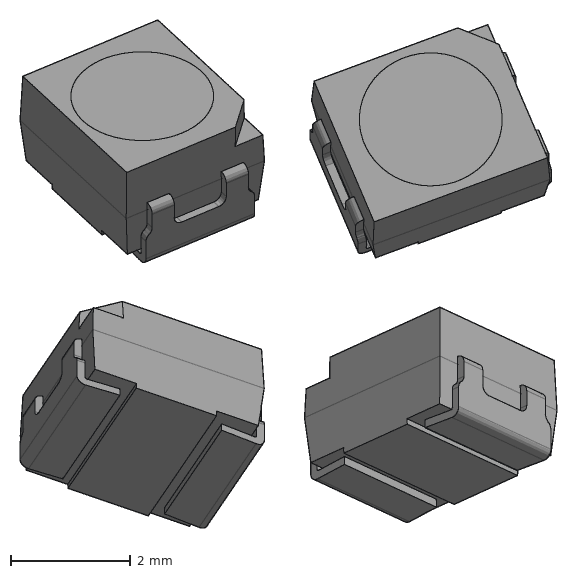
import cadquery as cq
import math

length = 3.2
width = 2.8
top_z = 2.0
parting_z = 1.05
underside_z = 0.2
upper_draft = 2.0
lower_draft = 5.0

pad_length = 1.5
pad_bottom_z = 0.1

corner_leg = 0.6
corner_depth = 0.4

lens_radius = 1.2
lens_depth = 0.8

sheet = 0.15
foot_length = 0.8
foot_slope = math.radians(3.5)
outer_bend = 0.15
inner_bend = 0.04
embed = 0.1
plate_width = 2.2
post_span = 1.95
post_width = 0.45
slot_bottom_z = 0.62
shoulder_z = 0.645
edge_radius = 0.15

lead_inner_x = length / 2
lead_outer_x = lead_inner_x + sheet
lead_top_z = parting_z + sheet


def make_shell():
    """Both drafted halves, with the lower one trimmed to leave the pad."""
    upper = cq.Workplane("XY").rect(length, width).extrude(top_z - parting_z, taper=upper_draft)
    upper = upper.translate((0, 0, parting_z))
    lower = cq.Workplane("XY").rect(length, width).extrude(parting_z - pad_bottom_z, taper=lower_draft)
    lower = lower.mirror("XY").translate((0, 0, parting_z))
    relief_length = (length - pad_length) / 2
    for side in (-1, 1):
        relief = cq.Workplane("XY").box(
            relief_length, width, underside_z - pad_bottom_z, centered=(True, True, False)
        )
        relief_x = side * (pad_length + relief_length) / 2
        lower = lower.cut(relief.translate((relief_x, 0, pad_bottom_z)))
    return upper.union(lower)


def make_corner_step():
    """Triangular prism that lowers one top corner."""
    corner_x = length / 2
    corner_y = width / 2
    return (
        cq.Workplane("XY", origin=(0, 0, top_z - corner_depth))
        .moveTo(corner_x, corner_y)
        .lineTo(corner_x - corner_leg, corner_y)
        .lineTo(corner_x, corner_y - corner_leg)
        .close()
        .extrude(corner_depth)
    )


def make_lead_strip():
    """Bent strip of the +X lead, at full plate width."""
    tip_x = lead_outer_x - foot_length
    foot_rise = math.tan(foot_slope)
    bend_x = lead_outer_x - outer_bend
    tangent_x = bend_x - outer_bend * math.sin(foot_slope)
    tangent_z = outer_bend * (1 - math.cos(foot_slope))
    tip_z = tangent_z + (tangent_x - tip_x) * foot_rise
    foot_height = sheet / math.cos(foot_slope)
    mid_angle = (math.pi / 2 + foot_slope) / 2
    outer_mid = (
        bend_x + outer_bend * math.cos(mid_angle),
        outer_bend * (1 - math.sin(mid_angle)),
    )

    inner_corner_z = tip_z + foot_height - (lead_inner_x - tip_x) * foot_rise
    strip = (
        cq.Workplane("XZ")
        .moveTo(lead_inner_x - embed, lead_top_z)
        .lineTo(lead_inner_x, lead_top_z)
        .radiusArc((lead_outer_x, parting_z), sheet)
        .lineTo(lead_outer_x, outer_bend)
        .threePointArc(outer_mid, (tangent_x, tangent_z))
        .lineTo(tip_x, tip_z)
        .lineTo(tip_x, tip_z + foot_height)
        .lineTo(lead_inner_x, inner_corner_z)
        .lineTo(lead_inner_x, parting_z)
        .lineTo(lead_inner_x - embed, parting_z)
        .close()
        .extrude(plate_width / 2, both=True)
    )
    inner_edge = cq.selectors.NearestToPointSelector((lead_inner_x, 0, inner_corner_z))
    return strip.edges("|Y").edges(inner_edge).fillet(inner_bend)


def make_lead_outline():
    """Prism of the lead's face: a wide plate, S-curved shoulders and a slot between the posts."""
    plate_y = plate_width / 2
    post_y = post_span / 2
    slot_width = post_span - 2 * post_width
    half_step = (plate_y - post_y) / 2
    shoulder_rise = math.sqrt(edge_radius**2 - (edge_radius - half_step) ** 2)
    shoulder_y = post_y + half_step
    low_z = shoulder_z - shoulder_rise
    high_z = shoulder_z + shoulder_rise
    outline = (
        cq.Workplane("YZ")
        .moveTo(-plate_y, 0)
        .lineTo(plate_y, 0)
        .lineTo(plate_y, low_z)
        .radiusArc((shoulder_y, shoulder_z), -edge_radius)
        .radiusArc((post_y, high_z), edge_radius)
        .lineTo(post_y, lead_top_z)
        .lineTo(-post_y, lead_top_z)
        .lineTo(-post_y, high_z)
        .radiusArc((-shoulder_y, shoulder_z), edge_radius)
        .radiusArc((-plate_y, low_z), -edge_radius)
        .close()
        .extrude(lead_outer_x)
    )
    slot_height = lead_top_z - slot_bottom_z + edge_radius
    slot = (
        cq.Workplane("XY", origin=(0, 0, slot_bottom_z))
        .box(lead_outer_x, slot_width, slot_height, centered=(False, True, False))
        .edges("|X and <Z")
        .fillet(edge_radius)
    )
    return outline.cut(slot)


def make_lens():
    """Flat disc that fills the recess in the top."""
    return cq.Workplane("XY", origin=(0, 0, top_z - lens_depth)).circle(lens_radius).extrude(lens_depth)


lens = make_lens()
lead = make_lead_strip().intersect(make_lead_outline())

housing = make_shell().cut(make_corner_step())
housing = housing.union(lead).union(lead.mirror("YZ")).cut(lens)

result = cq.Compound.makeCompound([housing.solids().val(), lens.val()])